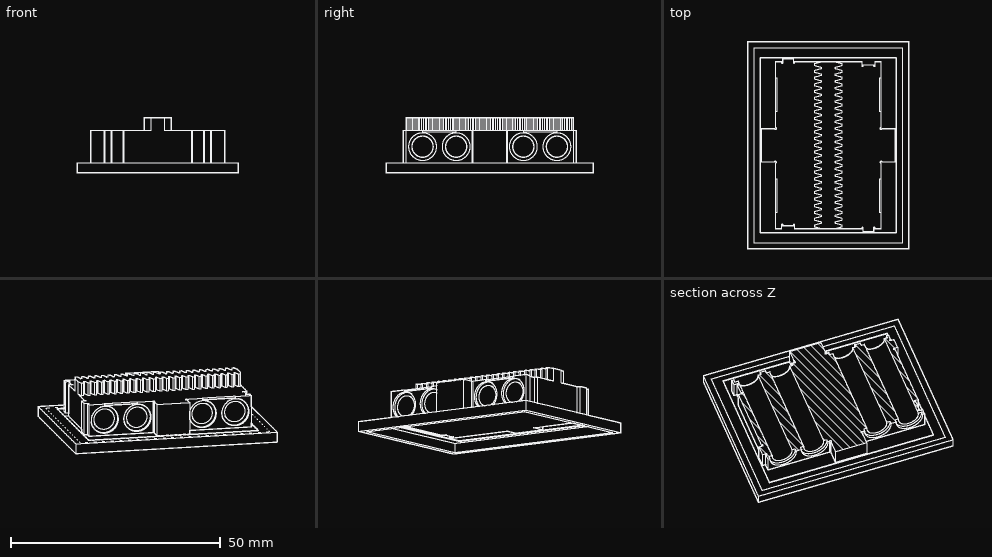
import cadquery as cq
FRAME_X = 38.4
FRAME_Y = 49.4
FRAME_HEIGHT = 2.4
OPENING_X = 32.3
OPENING_Y = 41.6
FRAME_WALL = 1.5
LIP_THICKNESS = 0.2

BLOCK_X = 25.2
BLOCK_Y = 39.8
BLOCK_HEIGHT = 7.7
BLOCK_BOTTOM = FRAME_HEIGHT
BLOCK_TOP = BLOCK_BOTTOM + BLOCK_HEIGHT

LUG_SPAN = 32.0
LUG_WIDTH = 8.0
LUG_RELIEF_RADIUS = 0.2

TAB_OFFSET = 9.6
TAB_WIDTH = 2.6
TAB_LENGTH = 0.75
RECESS_WIDTH = 3.0
RECESS_DEPTH = 0.75
SLIT_WIDTH = 0.2
SLIT_DEPTH = 0.35

HOLE_PITCH = 8.0
HOLE_DIAMETER = 5.0
COUNTERBORE_DIAMETER = 6.6
COUNTERBORE_DEPTH = 0.7
HOLE_HEIGHT = BLOCK_BOTTOM + BLOCK_HEIGHT / 2
HOLE_POSITIONS = [-2 * HOLE_PITCH, -HOLE_PITCH, HOLE_PITCH, 2 * HOLE_PITCH]

STEP_SIZE = 0.4

TOTAL_HEIGHT = 13.2
RACK_HEIGHT = TOTAL_HEIGHT - BLOCK_TOP
RACK_TIP_WIDTH = 6.5
RACK_ROOT_WIDTH = 3.15
TOOTH_COUNT = 25
TEETH_PER_HOLE_PITCH = 5
TOOTH_PITCH = HOLE_PITCH / TEETH_PER_HOLE_PITCH
TIP_FLAT = 0.45
ROOT_FLAT = 0.25


def box(size_x, size_y, bottom, height, x=0.0, y=0.0):
    """Upright box centred on (x, y), standing on the given height."""
    return cq.Workplane("XY", origin=(x, y, bottom)).rect(size_x, size_y).extrude(height)


def block_box(size_x, size_y, x=0.0, y=0.0):
    """Box over the full height of the block."""
    return box(size_x, size_y, BLOCK_BOTTOM, BLOCK_HEIGHT, x, y)


def make_frame():
    opening = box(OPENING_X, OPENING_Y, 0, FRAME_HEIGHT)
    cavity = box(FRAME_X - 2 * FRAME_WALL, FRAME_Y - 2 * FRAME_WALL, 0, FRAME_HEIGHT - LIP_THICKNESS)
    return box(FRAME_X, FRAME_Y, 0, FRAME_HEIGHT).cut(opening).cut(cavity)


def lug_reliefs():
    """Round corner reliefs where the lugs leave the side faces."""
    return (
        cq.Workplane("XY", origin=(0, 0, BLOCK_BOTTOM))
        .rect(BLOCK_X, LUG_WIDTH, forConstruction=True)
        .vertices()
        .circle(LUG_RELIEF_RADIUS)
        .extrude(BLOCK_HEIGHT)
    )


def slits(floor_y, distance, x, end):
    """Two narrow slits running into the block from floor_y, their centres a distance apart."""
    center_y = floor_y - end * SLIT_DEPTH / 2
    left = block_box(SLIT_WIDTH, SLIT_DEPTH, x - distance / 2, center_y)
    right = block_box(SLIT_WIDTH, SLIT_DEPTH, x + distance / 2, center_y)
    return left.union(right)


def add_end_features(block, end):
    """Tab and recess on one end face (end = +1 or -1), swapped sides on the other end."""
    face_y = end * BLOCK_Y / 2
    tab_x = -end * TAB_OFFSET
    recess_x = end * TAB_OFFSET

    tab = block_box(TAB_WIDTH, 2 * TAB_LENGTH, tab_x, face_y)
    recess = block_box(RECESS_WIDTH, 2 * RECESS_DEPTH, recess_x, face_y)
    floor_y = face_y - end * RECESS_DEPTH
    return (
        block.union(tab)
        .cut(slits(face_y, TAB_WIDTH + SLIT_WIDTH, tab_x, end))
        .cut(recess)
        .cut(slits(floor_y, RECESS_WIDTH - SLIT_WIDTH, recess_x, end))
    )


def x_cylinder(diameter, start_x, length, y):
    """Cylinder along X at hole height; a negative length runs toward -X."""
    plane = cq.Workplane("YZ", origin=(start_x, y, HOLE_HEIGHT))
    return plane.circle(diameter / 2).extrude(length)


def cross_hole(y):
    """Through hole along X with a counterbore at each side face."""
    half = BLOCK_X / 2
    return (
        x_cylinder(HOLE_DIAMETER, -half, BLOCK_X, y)
        .union(x_cylinder(COUNTERBORE_DIAMETER, -half, COUNTERBORE_DEPTH, y))
        .union(x_cylinder(COUNTERBORE_DIAMETER, half, -COUNTERBORE_DEPTH, y))
    )


def edge_step(side, end):
    """Step along a top side edge, from the centre of one hole to the next."""
    x = side * (BLOCK_X - STEP_SIZE) / 2
    y = end * (HOLE_PITCH + 2 * HOLE_PITCH) / 2
    return box(STEP_SIZE, HOLE_PITCH, BLOCK_TOP - STEP_SIZE, STEP_SIZE, x, y)


def make_rack():
    """Straight bar with the same row of teeth on both sides."""
    root_x = RACK_ROOT_WIDTH / 2
    tip_x = RACK_TIP_WIDTH / 2
    half_tooth = [
        (root_x, (TOOTH_PITCH - ROOT_FLAT) / 2),
        (tip_x, TIP_FLAT / 2),
    ]
    half_length = TOOTH_COUNT * TOOTH_PITCH / 2

    right_side = [(root_x, -half_length)]
    for index in range(TOOTH_COUNT):
        center_y = (index - (TOOTH_COUNT - 1) / 2) * TOOTH_PITCH
        right_side += [(x, center_y - offset) for x, offset in half_tooth]
        right_side += [(x, center_y + offset) for x, offset in reversed(half_tooth)]
    right_side.append((root_x, half_length))
    left_side = [(-x, y) for x, y in reversed(right_side)]
    outline = cq.Workplane("XY", origin=(0, 0, BLOCK_TOP)).polyline(right_side + left_side)

    trim = box(RACK_TIP_WIDTH, BLOCK_Y, BLOCK_TOP, RACK_HEIGHT)
    return outline.close().extrude(RACK_HEIGHT).intersect(trim)


def make_block():
    block = block_box(BLOCK_X, BLOCK_Y).union(block_box(LUG_SPAN, LUG_WIDTH)).cut(lug_reliefs())
    for end in (-1, 1):
        block = add_end_features(block, end)
        for side in (-1, 1):
            block = block.cut(edge_step(side, end))
    for y in HOLE_POSITIONS:
        block = block.cut(cross_hole(y))
    return block.union(make_rack()).solids()


frame = make_frame()
block = make_block()

result = cq.Compound.makeCompound([frame.val(), block.val()])